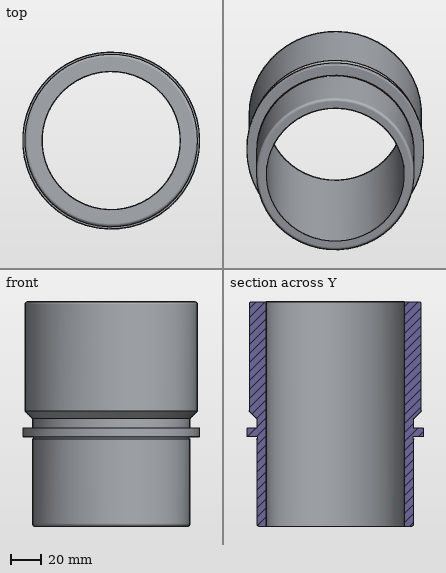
import cadquery as cq

total_height = 150.0
bore_diameter = 92.0

flange_diameter = 118.0
head_diameter = 115.0
spigot_diameter = 105.0
groove_depth = 0.5

head_bottom = 77.0
flange_bottom = 59.8
flange_thickness = 6.0
groove_height = 1.5

end_round = 2.0
flange_round = 0.5

head_radius = head_diameter / 2
spigot_radius = spigot_diameter / 2


def cylinder(diameter, bottom, height):
    """Solid cylinder on the Z axis, starting at the given height."""
    return cq.Workplane("XY").workplane(offset=bottom).circle(diameter / 2).extrude(height)


def make_spigot():
    """Lower cylinder with a rounded bottom edge, reaching up into the head."""
    return cylinder(spigot_diameter, 0, head_bottom).faces("<Z").edges().fillet(end_round)


def make_head():
    """Upper cylinder with a rounded top edge and a 45 degree cone beneath it."""
    cone_height = head_radius - spigot_radius
    head = cylinder(head_diameter, head_bottom - cone_height, total_height - head_bottom + cone_height)
    head = head.faces("<Z").edges().chamfer(cone_height)
    return head.faces(">Z").edges().fillet(end_round)


def make_flange():
    """Thin collar with both outer edges rounded."""
    return cylinder(flange_diameter, flange_bottom, flange_thickness).edges().fillet(flange_round)


def make_relief_groove():
    """Shallow ring cut into the spigot directly below the flange."""
    bottom = flange_bottom - groove_height
    outer = cylinder(spigot_diameter, bottom, groove_height)
    inner = cylinder(spigot_diameter - 2 * groove_depth, bottom, groove_height)
    return outer.cut(inner)


body = make_spigot().cut(make_relief_groove())
body = body.union(make_head()).union(make_flange())
result = body.cut(cylinder(bore_diameter, 0, total_height))